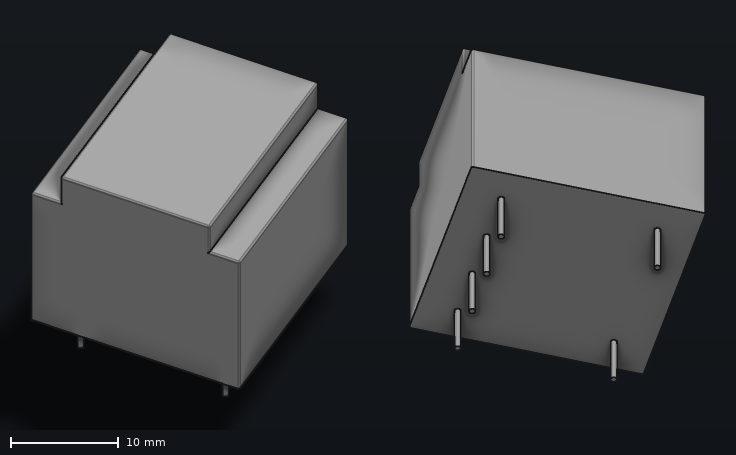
import cadquery as cq

body_width = 21.7
body_depth = 22.6
total_height = 24.0
pin_length = 5.0
body_height = total_height - pin_length
top_width = 15.45
shoulder_drop = 3.2
shoulder_height = body_height - shoulder_drop
edge_radius = 0.2

pin_diameter = 0.6
pin_pitch = 5.02
outer_pin = 1.5 * pin_pitch
inner_pin = 0.5 * pin_pitch
row_offset = outer_pin

body_base = pin_length - total_height / 2


def rounded_block(width, height):
    """Full-depth block with rounded upright and upper edges and a sharp underside."""
    block = cq.Workplane("XY").box(width, body_depth, height, centered=(True, True, False))
    return block.edges("|Z or >Z").fillet(edge_radius)


def make_body():
    """Lower block and raised top, meeting in sharp inner corners at the shoulders."""
    lower_block = rounded_block(body_width, shoulder_height)
    raised_top = rounded_block(top_width, body_height)
    return lower_block.union(raised_top)


def make_pins():
    """Two pins in the -Y row and four in the +Y row, hanging below the body."""
    front_row = [(x, -row_offset) for x in (-outer_pin, outer_pin)]
    back_row = [(x, row_offset) for x in (-outer_pin, -inner_pin, inner_pin, outer_pin)]
    layout = cq.Workplane("XY").pushPoints(front_row + back_row)
    return layout.circle(pin_diameter / 2).extrude(-pin_length)


result = make_body().union(make_pins()).translate((0, 0, body_base))